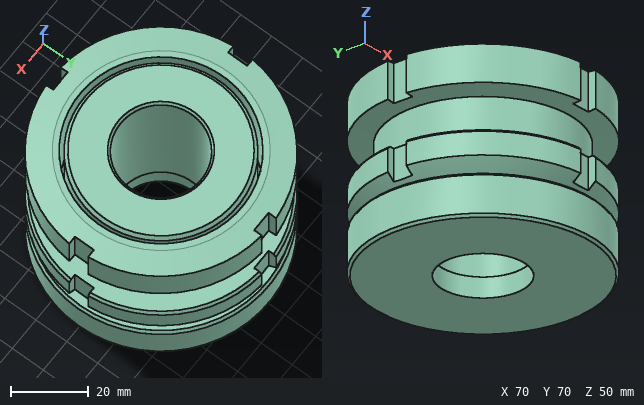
import cadquery as cq
import math

outer_radius = 35.0
hole_radius = 13.0
hole_chamfer = 0.7
rim_chamfer = 0.8

base_height = 12.5
head_edge_height = 17.4
head_top_height = 25.0
total_height = 50.0
flange_thickness = 12.45

seat_radius = 28.35
seat_drop = head_edge_height - base_height
sphere_center_height = (
    (outer_radius**2 - seat_radius**2) / seat_drop + head_edge_height + base_height
) / 2
sphere_radius = math.hypot(outer_radius, sphere_center_height - head_edge_height)

shank_radius = 24.9
shank_chamfer = 1.0
bore_radius = 26.2
sleeve_radius = 28.15
sleeve_chamfer = 1.0
top_land_radius = 28.0
bevel_drop = 0.7

slot_count = 4
slot_width = 6.1
slot_depth = 2.5


def sphere_height(radius):
    """Height of the lower part of the seat sphere at a distance from the axis."""
    return sphere_center_height - math.sqrt(sphere_radius**2 - radius**2)


def seat_arc_middle(outer_end):
    """Point on the seat arc midway between the hole and its outer end."""
    radius = (hole_radius + outer_end) / 2
    return radius, sphere_height(radius)


def revolve_profile(profile):
    """Revolve a closed radius-height profile around the Z axis."""
    return profile.close().revolve(360, (0, 0, 0), (0, 1, 0))


def cut_slots(body, bottom, top):
    """Cut equally spaced wrench slots into the rim between two heights."""
    cutter = (
        cq.Workplane("XY", origin=(outer_radius, 0, bottom))
        .box(2 * slot_depth, slot_width, top - bottom, centered=(True, True, False))
    )
    for index in range(slot_count):
        angle = index * 360 / slot_count
        body = body.cut(cutter.rotate((0, 0, 0), (0, 0, 1), angle))
    return body


def make_base():
    """Disc with chamfered rims and a concave spherical seat."""
    return revolve_profile(
        cq.Workplane("XZ")
        .moveTo(hole_radius, 0)
        .lineTo(outer_radius - rim_chamfer, 0)
        .lineTo(outer_radius, rim_chamfer)
        .lineTo(outer_radius, base_height - rim_chamfer)
        .lineTo(outer_radius - rim_chamfer, base_height)
        .lineTo(seat_radius, base_height)
        .threePointArc(seat_arc_middle(seat_radius), (hole_radius, sphere_height(hole_radius)))
    )


def make_screw():
    """Hollow screw: slotted head with a spherical underside and an upright shank."""
    body = revolve_profile(
        cq.Workplane("XZ")
        .moveTo(hole_radius, sphere_height(hole_radius))
        .threePointArc(seat_arc_middle(outer_radius), (outer_radius, head_edge_height))
        .lineTo(outer_radius, head_top_height - rim_chamfer)
        .lineTo(outer_radius - rim_chamfer, head_top_height)
        .lineTo(shank_radius, head_top_height)
        .lineTo(shank_radius, total_height - shank_chamfer)
        .lineTo(shank_radius - shank_chamfer, total_height)
        .lineTo(hole_radius + hole_chamfer, total_height)
        .lineTo(hole_radius, total_height - hole_chamfer)
    )
    return cut_slots(body, base_height, head_top_height)


def make_nut():
    """Sleeve around the shank with a slotted flange beveled on both faces."""
    flange_bottom = total_height - flange_thickness
    body = revolve_profile(
        cq.Workplane("XZ")
        .moveTo(bore_radius, head_top_height)
        .lineTo(sleeve_radius - sleeve_chamfer, head_top_height)
        .lineTo(sleeve_radius, head_top_height + sleeve_chamfer)
        .lineTo(sleeve_radius, flange_bottom)
        .lineTo(outer_radius, flange_bottom + bevel_drop)
        .lineTo(outer_radius, total_height - bevel_drop)
        .lineTo(top_land_radius, total_height)
        .lineTo(bore_radius, total_height)
    )
    return cut_slots(body, flange_bottom, total_height)


base = make_base()
screw = make_screw()
nut = make_nut()

result = cq.Compound.makeCompound([base.val(), screw.val(), nut.val()])